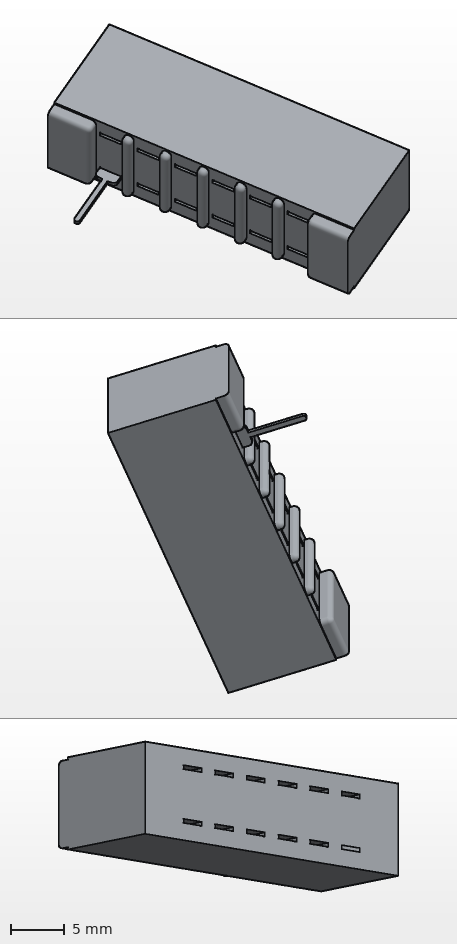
import cadquery as cq
import math

length = 31.65
depth = 10.7
height = 8.7

edge_inset = 0.22
raised_height = height - 2 * edge_inset
rounding = 0.5
pad_width = 4.43
pad_rise = 1.27
rib_rise = 0.82
rib_width = 2 * rounding

contact_pitch = 3.95
contacts_per_row = 6
row_spacing = 5.05
slot_width = 2.25
slot_thickness = 0.38

overall_depth = 17.4
terminal_reach = overall_depth - depth
blade_rise = 1.08
shoulder_run = 0.5
shoulder_radius = 0.57
shoulder_drop = shoulder_radius - math.sqrt(shoulder_radius**2 - shoulder_run**2)
tail_width = 0.57
tail_rounding = 0.25

first_contact_x = -contact_pitch * (contacts_per_row - 1) / 2
lower_row_z = -row_spacing / 2


def box_between(width, front, back, thickness, x, z):
    """Box centred at x and z that spans from front to back in Y."""
    return cq.Workplane("XY").box(width, back - front, thickness).translate((x, (front + back) / 2, z))


def make_pad(side):
    """End pad flush with the block's end (side is -1 or +1), rounded on its other exposed edges."""
    centre_x = side * (length - pad_width) / 2
    pad = box_between(pad_width, -pad_rise, 0, raised_height, centre_x, 0)
    inner_end = "<X" if side > 0 else ">X"
    outer_end = ">X" if side > 0 else "<X"
    return pad.edges(f"({inner_end} and |Y) or (<Y and (not {outer_end}))").fillet(rounding)


def make_rib(x):
    """Upright rib with a half-round section and ball ends, on a low straight-sided foot."""
    straight_height = raised_height - rib_width
    foot_rise = rib_rise - rounding
    foot = cq.Workplane("XZ").center(x, 0).slot2D(raised_height, rib_width, 90).extrude(foot_rise)
    crest = (
        cq.Workplane("XY", origin=(x, -foot_rise, -straight_height / 2))
        .circle(rounding)
        .extrude(straight_height)
    )
    rib = foot.union(crest)
    for end_z in (-straight_height / 2, straight_height / 2):
        rib = rib.union(cq.Workplane("XY").sphere(rounding).translate((x, -foot_rise, end_z)))
    return rib


def make_housing():
    """Block with its pads and ribs, and two rows of slots right through its depth."""
    housing = box_between(length, 0, depth, height, 0, 0)
    for side in (-1, 1):
        housing = housing.union(make_pad(side))
    for gap in range(contacts_per_row - 1):
        housing = housing.union(make_rib(first_contact_x + (gap + 0.5) * contact_pitch))
    for contact in range(contacts_per_row):
        for row_z in (lower_row_z, -lower_row_z):
            slot_x = first_contact_x + contact * contact_pitch
            housing = housing.cut(box_between(slot_width, 0, depth, slot_thickness, slot_x, row_z))
    return housing


def make_terminal():
    """Flat terminal in the first slot of the lower row."""
    half_blade = slot_width / 2
    half_tail = tail_width / 2
    outline = (
        cq.Workplane("XY")
        .moveTo(0, depth)
        .lineTo(half_blade, depth)
        .lineTo(half_blade, shoulder_drop - blade_rise)
        .radiusArc((half_blade - shoulder_run, -blade_rise), shoulder_radius)
        .lineTo(half_tail, -blade_rise)
        .lineTo(half_tail, -terminal_reach)
        .lineTo(0, -terminal_reach)
        .mirrorY()
    )
    terminal = outline.extrude(slot_thickness / 2, both=True)
    terminal = terminal.edges("|Z and <Y").fillet(tail_rounding)
    return terminal.translate((first_contact_x, 0, lower_row_z))


housing = make_housing()
terminal = make_terminal()
result = cq.Compound.makeCompound([housing.val(), terminal.val()])